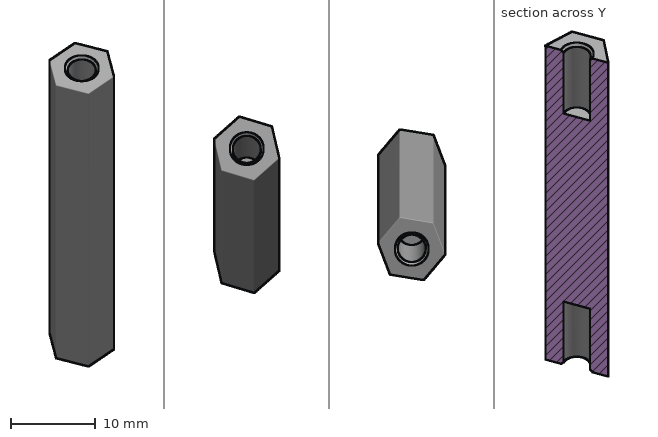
import cadquery as cq
import math

length = 50.0
across_flats = 7.0
across_corners = across_flats / math.cos(math.pi / 6)
edge_radius = 0.1

hole_diameter = 3.3
mouth_diameter = 4.0
hole_depth = 10.0
countersink_depth = (mouth_diameter - hole_diameter) / 2


def hex_body():
    """Hexagonal bar with corners on the X axis and every edge rounded."""
    bar = cq.Workplane("XY").polygon(6, across_corners).extrude(length)
    return bar.edges().fillet(edge_radius)


def bottom_hole():
    """Solid of the hole that opens downward at Z = 0."""
    profile = (
        cq.Workplane("XZ")
        .lineTo(mouth_diameter / 2, 0)
        .lineTo(hole_diameter / 2, countersink_depth)
        .lineTo(hole_diameter / 2, hole_depth)
        .lineTo(0, hole_depth)
        .close()
    )
    return profile.revolve(360, (0, 0, 0), (0, 1, 0))


lower_hole = bottom_hole()
upper_hole = lower_hole.mirror("XY").translate((0, 0, length))
result = hex_body().cut(lower_hole).cut(upper_hole)